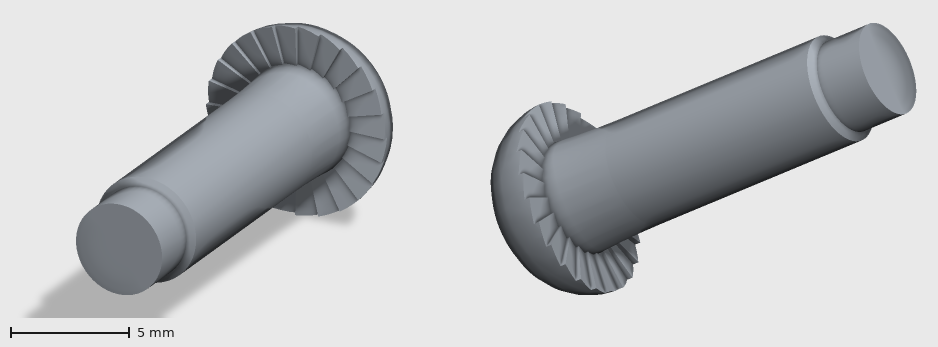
import cadquery as cq
import math

head_radius = 4.25
head_height = 3.0
crown_flat_radius = 2.125

neck_radius = 2.5
neck_length = 3.0
neck_root_y = head_height / 2
shank_radius = 2.375
tip_radius = 2.05
tip_shoulder_y = -13.8
tip_chamfer_length = 0.27
pin_length = 16.0

tooth_count = 24
tooth_depth = 0.27
rim_clearance = 1.5
cutter_radius = head_radius + rim_clearance


def tangent_arc_radius(radial_step, axial_length):
    """Radius of an arc that starts parallel to the axis and moves sideways by radial_step."""
    return (radial_step ** 2 + axial_length ** 2) / (2 * radial_step)


def arc_drift(arc_radius, axial_distance):
    """Sideways drift of such an arc after the given distance along the axis."""
    return arc_radius - math.sqrt(arc_radius ** 2 - axial_distance ** 2)


def revolve_about_pin_axis(outline):
    return outline.revolve(360, (0, 0, 0), (0, 1, 0))


def make_head():
    """Domed head with a flat crown and an underside that is slightly dished from the rim."""
    dome_radius = tangent_arc_radius(head_radius - crown_flat_radius, head_height)
    middle_y = head_height / 2
    middle_radius = head_radius - arc_drift(dome_radius, middle_y)
    outline = (
        cq.Workplane("XY")
        .moveTo(0, tooth_depth)
        .lineTo(head_radius, 0)
        .threePointArc((middle_radius, middle_y), (crown_flat_radius, head_height))
        .lineTo(0, head_height)
        .close()
    )
    return revolve_about_pin_axis(outline)


def make_shank():
    """Shank with a stepped tip and a flared neck that runs on into the head."""
    flare_radius = tangent_arc_radius(neck_radius - shank_radius, neck_length)
    root_radius = shank_radius + arc_drift(flare_radius, neck_length + neck_root_y)
    outline = (
        cq.Workplane("XY")
        .moveTo(0, -pin_length)
        .lineTo(tip_radius, -pin_length)
        .lineTo(tip_radius, tip_shoulder_y)
        .lineTo(shank_radius, tip_shoulder_y + tip_chamfer_length)
        .lineTo(shank_radius, -neck_length)
        .threePointArc((neck_radius, 0), (root_radius, neck_root_y))
        .lineTo(0, neck_root_y)
        .close()
    )
    return revolve_about_pin_axis(outline)


def make_tooth_gap():
    """Wedge between two crests: a wall along the axis and a flat ramp.

    The root of the wall is square to the axis; the crests slope from the apex to the rim.
    """
    pitch_angle = 2 * math.pi / tooth_count
    crest_y = tooth_depth * (1 - cutter_radius / head_radius)
    apex = cq.Vector(0, tooth_depth, 0)
    wall_crest = cq.Vector(0, crest_y, cutter_radius)
    wall_root = cq.Vector(0, tooth_depth, cutter_radius)
    ramp_crest = cq.Vector(
        cutter_radius * math.sin(pitch_angle), crest_y, cutter_radius * math.cos(pitch_angle)
    )
    corner_loops = [
        (apex, wall_crest, wall_root),
        (apex, wall_root, ramp_crest),
        (apex, ramp_crest, wall_crest),
        (wall_crest, ramp_crest, wall_root),
    ]
    faces = [
        cq.Face.makeFromWires(cq.Wire.makePolygon(list(loop), close=True))
        for loop in corner_loops
    ]
    return cq.Workplane(obj=cq.Solid.makeSolid(cq.Shell.makeShell(faces)))


def cut_serrations(head):
    """Cut the ring of ratchet teeth into the underside of the head."""
    gap = make_tooth_gap()
    for index in range(tooth_count):
        angle = index * 360 / tooth_count
        head = head.cut(gap.rotate((0, 0, 0), (0, 1, 0), angle))
    return head


result = cut_serrations(make_head()).union(make_shank())